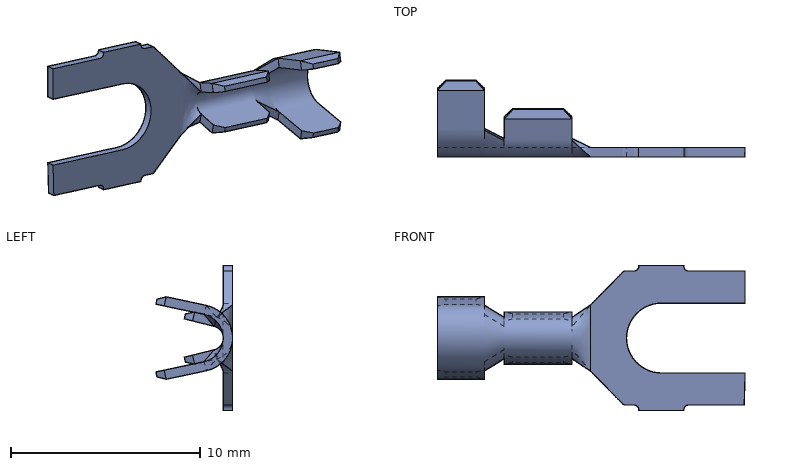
import cadquery as cq
import math


sheet = 0.5

insulation_end = 2.5
wire_start = 3.53
wire_end = 7.12
tongue_start = 8.1
terminal_length = 16.26

insulation_radius = 1.77
insulation_lean = 12.0
insulation_leg_height = 3.51

wire_radius = 1.14
wire_lean = 14.0
wire_leg_height = 2.0

tip_length = 0.45
tip_bevel = 0.23

neck_half = 1.75
fork_half = 3.55
shoulder_half = 3.84
taper_end = 9.85
taper_corner_radius = 0.16
shoulder_start = 10.63
shoulder_end = 13.02
shoulder_fillet = 0.25
slot_radius = 1.84
slot_bottom = 10.0
prong_skew = 0.05

ridge_rise = 0.16
ridge_half_at_wire = 0.33


def bend_points(radius, lean, surface_radius):
    """Upper end, bottom and lower end of a bend arc as (y, z)."""
    angle = math.radians(lean)
    end_y = radius - surface_radius * math.sin(angle)
    end_z = surface_radius * math.cos(angle)
    return (end_y, end_z), (radius - surface_radius, 0), (end_y, -end_z)


def bend_section(x, radius, lean):
    """Closed outline of the bent sheet, without legs, at station x."""
    outer_top, outer_mid, outer_bottom = bend_points(radius, lean, radius)
    inner_top, inner_mid, inner_bottom = bend_points(radius, lean, radius - sheet)
    return (
        cq.Workplane("YZ", origin=(x, 0, 0))
        .moveTo(*outer_top)
        .threePointArc(outer_mid, outer_bottom)
        .lineTo(*inner_bottom)
        .threePointArc(inner_mid, inner_top)
        .close()
        .wires().val()
    )


def flat_section(x, half_width):
    """Closed outline of the flat sheet at station x, in the same order as a bend section."""
    return (
        cq.Workplane("YZ", origin=(x, 0, 0))
        .moveTo(0, half_width)
        .lineTo(0, -half_width)
        .lineTo(sheet, -half_width)
        .lineTo(sheet, half_width)
        .close()
        .wires().val()
    )


def ruled_transition(start_section, end_section):
    return cq.Workplane(cq.Solid.makeLoft([start_section, end_section], True))


def barrel_leg(start, length, radius, lean, leg_height):
    """Upper leg of a barrel: a straight plate with a tip tapered on three sides."""
    angle = math.radians(lean)
    (root_y, root_z), _, _ = bend_points(radius, lean, radius)
    straight = (leg_height - root_y) / math.cos(angle)
    leg_plane = cq.Plane(
        origin=(start, root_y, root_z),
        xDir=(1, 0, 0),
        normal=(0, math.cos(angle), math.sin(angle)),
    )
    root = cq.Workplane(leg_plane)
    plate = root.rect(length, sheet, centered=False).extrude(straight)
    tip = (
        root.workplane(offset=straight)
        .rect(length, sheet, centered=False)
        .workplane(offset=tip_length)
        .moveTo(tip_length, tip_bevel)
        .lineTo(length - tip_length, tip_bevel)
        .lineTo(length - tip_length, sheet)
        .lineTo(tip_length, sheet)
        .close()
        .loft(ruled=True)
    )
    return plate.union(tip)


def barrel(start, end, radius, lean, leg_height):
    length = end - start
    bend = cq.Workplane("YZ").add(bend_section(start, radius, lean)).toPending().extrude(length)
    leg = barrel_leg(start, length, radius, lean, leg_height)
    return bend.union(leg).union(leg.mirror("XY"))


def xz_plate(outline, thickness):
    """Extrude an XZ outline from Y = 0 toward +Y."""
    return outline.extrude(-thickness)


def fork_half_plate():
    """Upper half of the tongue before the slot is cut."""
    outline = (
        cq.Workplane("XZ")
        .moveTo(tongue_start, 0)
        .lineTo(tongue_start, neck_half)
        .lineTo(taper_end, fork_half)
        .lineTo(shoulder_start - shoulder_fillet, fork_half)
        .radiusArc((shoulder_start, fork_half + shoulder_fillet), -shoulder_fillet)
        .lineTo(shoulder_start, shoulder_half)
        .lineTo(shoulder_end, shoulder_half)
        .lineTo(shoulder_end, fork_half + shoulder_fillet)
        .radiusArc((shoulder_end + shoulder_fillet, fork_half), -shoulder_fillet)
        .lineTo(terminal_length, fork_half)
        .lineTo(terminal_length, 0)
        .close()
    )
    taper_corner = cq.selectors.NearestToPointSelector((taper_end, sheet / 2, fork_half))
    return xz_plate(outline, sheet).edges("|Y").edges(taper_corner).fillet(taper_corner_radius)


def fork_tongue():
    upper = fork_half_plate()
    slot_centre = slot_bottom + slot_radius
    slot = (
        cq.Workplane("XZ")
        .moveTo(terminal_length, slot_radius)
        .lineTo(slot_centre, slot_radius)
        .threePointArc((slot_bottom, 0), (slot_centre, -slot_radius))
        .lineTo(terminal_length, -slot_radius)
        .close()
    )
    skew_cut = (
        cq.Workplane("XZ")
        .moveTo(terminal_length, -slot_radius)
        .lineTo(terminal_length, -fork_half)
        .lineTo(terminal_length - prong_skew, -fork_half)
        .close()
    )
    tongue = upper.union(upper.mirror("XY"))
    return tongue.cut(xz_plate(slot, sheet)).cut(xz_plate(skew_cut, sheet))


def neck_ridge():
    """Low ridge between the wire barrel and the tongue, widening toward the tongue."""
    profile = (
        cq.Workplane("XY")
        .moveTo(wire_end, 0)
        .lineTo(wire_end, sheet)
        .lineTo((wire_end + tongue_start) / 2, sheet + ridge_rise)
        .lineTo(tongue_start, sheet)
        .lineTo(tongue_start, 0)
        .close()
        .extrude(neck_half, both=True)
    )
    planform = (
        cq.Workplane("XZ")
        .moveTo(wire_end, ridge_half_at_wire)
        .lineTo(tongue_start, neck_half)
        .lineTo(tongue_start, -neck_half)
        .lineTo(wire_end, -ridge_half_at_wire)
        .close()
    )
    upper_band = xz_plate(planform, sheet + ridge_rise).translate((0, sheet / 2, 0))
    return profile.intersect(upper_band)


insulation_barrel = barrel(
    0, insulation_end, insulation_radius, insulation_lean, insulation_leg_height
)
wire_barrel = barrel(wire_start, wire_end, wire_radius, wire_lean, wire_leg_height)
barrel_transition = ruled_transition(
    bend_section(insulation_end, insulation_radius, insulation_lean),
    bend_section(wire_start, wire_radius, wire_lean),
)
neck = ruled_transition(
    bend_section(wire_end, wire_radius, wire_lean),
    flat_section(tongue_start, neck_half),
)

result = (
    insulation_barrel
    .union(barrel_transition)
    .union(wire_barrel)
    .union(neck)
    .union(neck_ridge())
    .union(fork_tongue())
)